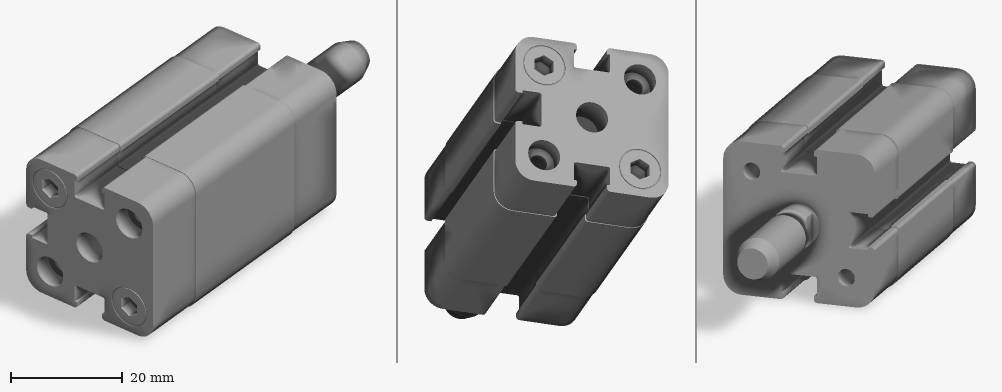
import cadquery as cq
import math

ARC_MIDPOINT = 1 - math.sqrt(0.5)

overall_length = 77.5
body_width = 29.05
cap_width = 28.8
corner_radius = 3.5

front_cap_length = 12.3
profile_length = 28.5
rear_cap_length = 12.35
body_length = front_cap_length + profile_length + rear_cap_length

lip_underside = 13.1
lip_radius = 0.6
slot_floor_radius = 0.4
cut_clearance = 1.0
cap_slot_width = 6.8
cap_slot_opening = 5.7
cap_slot_floor = 9.5
profile_slot_width = 6.6
profile_slot_opening = 5.2
profile_slot_floor = 9.7
slot_directions = (0, 90, 180)

screw_offset = 9.0
through_hole_diameter = 3.24
counterbore_diameter = 6.0
counterbore_depth = 3.4
centre_bore_diameter = 6.0
centre_bore_depth = 6.0

screw_recess_diameter = 8.0
screw_head_diameter = 7.5
screw_ring_depth = 0.2
socket_corner_diameter = 4.13
socket_depth = 2.5

rod_diameter = 8.0
rod_flat_width = 5.8
rod_shoulder = 4.4
rod_embedment = 1.0
rod_chamfer = 0.4
rod_flat_start = 0.95
rod_flat_ramp_angle = 45
neck_diameter = 5.8
neck_length = 2.4
tip_diameter = 5.8
tip_taper_length = 2.9
root_chamfer_length = 0.6
root_chamfer_diameter = 7.5


def square_bar(width, length, start):
    """Rounded square bar along +Y beginning at y = start."""
    bar = cq.Workplane("XY").box(width, length, width, centered=(True, False, True))
    return bar.edges("|Y").fillet(corner_radius).translate((0, start, 0))


def sensor_slot(width, floor, slot_width, opening, length, start):
    """Cutter for one undercut slot open towards +Z, with rounded lips and floor corners."""
    face = width / 2
    half_slot = slot_width / 2
    half_opening = opening / 2
    lip_mid = lip_radius * ARC_MIDPOINT
    floor_mid = slot_floor_radius * ARC_MIDPOINT
    half = (
        cq.Workplane("XZ", origin=(0, start, 0))
        .moveTo(0, floor)
        .lineTo(half_slot - slot_floor_radius, floor)
        .threePointArc((half_slot - floor_mid, floor + floor_mid), (half_slot, floor + slot_floor_radius))
        .lineTo(half_slot, lip_underside)
        .lineTo(half_opening, lip_underside)
        .lineTo(half_opening, face - lip_radius)
        .threePointArc((half_opening + lip_mid, face - lip_mid), (half_opening + lip_radius, face))
        .lineTo(half_opening + lip_radius, face + cut_clearance)
        .lineTo(0, face + cut_clearance)
        .close()
        .extrude(-length)
    )
    return half.union(half.mirror("YZ"))


def body_section(width, floor, slot_width, opening, length, start):
    """One length of the body with its three sensor slots."""
    section = square_bar(width, length, start)
    slot = sensor_slot(width, floor, slot_width, opening, length, start)
    for angle in slot_directions:
        section = section.cut(slot.rotate((0, 0, 0), (0, 1, 0), -angle))
    return section


def end_cap(length, start):
    """End cap of the given length beginning at y = start."""
    return body_section(cap_width, cap_slot_floor, cap_slot_width, cap_slot_opening, length, start)


def round_hole(diameter, depth, x, z):
    """Cutter for a round hole entering the front face."""
    return cq.Workplane("XZ", origin=(x, 0, z)).circle(diameter / 2).extrude(-depth)


def through_hole(x, z):
    """Cutter for a counterbored hole running the whole body length."""
    bore = round_hole(through_hole_diameter, body_length, x, z)
    return bore.union(round_hole(counterbore_diameter, counterbore_depth, x, z))


def screw_relief(x, z):
    """Cutter for the groove round a screw head and its hexagon socket."""
    ring = round_hole(screw_recess_diameter, screw_ring_depth, x, z)
    ring = ring.cut(round_hole(screw_head_diameter, screw_ring_depth, x, z))
    socket = (
        cq.Workplane("XZ", origin=(x, 0, z))
        .transformed(rotate=(0, 0, 90))
        .polygon(6, socket_corner_diameter)
        .extrude(-socket_depth)
    )
    return ring.union(socket)


def piston_rod():
    """Turned rod and rod end, revolved about Y, with two wrench flats."""
    rod_radius = rod_diameter / 2
    shoulder = body_length + rod_shoulder
    neck_end = shoulder + neck_length
    rod_end_start = neck_end + root_chamfer_length
    rod = (
        cq.Workplane("XY")
        .moveTo(0, body_length - rod_embedment)
        .lineTo(rod_radius, body_length - rod_embedment)
        .lineTo(rod_radius, shoulder - rod_chamfer)
        .lineTo(rod_radius - rod_chamfer, shoulder)
        .lineTo(neck_diameter / 2, shoulder)
        .lineTo(neck_diameter / 2, neck_end)
        .lineTo(root_chamfer_diameter / 2, rod_end_start)
        .lineTo(rod_radius, rod_end_start)
        .lineTo(rod_radius, overall_length - tip_taper_length)
        .lineTo(tip_diameter / 2, overall_length)
        .lineTo(0, overall_length)
        .close()
        .revolve(360, (0, 0, 0), (0, 1, 0))
    )
    flat = rod_flat_width / 2
    flat_start = body_length + rod_flat_start
    ramp_end = flat_start - (rod_radius - flat) / math.tan(math.radians(rod_flat_ramp_angle))
    side_cut = (
        cq.Workplane("XY")
        .moveTo(flat, shoulder)
        .lineTo(flat, flat_start)
        .lineTo(rod_radius, ramp_end)
        .lineTo(rod_radius, shoulder)
        .close()
        .extrude(rod_radius, both=True)
    )
    return rod.cut(side_cut).cut(side_cut.mirror("YZ"))


profile = body_section(
    body_width,
    profile_slot_floor,
    profile_slot_width,
    profile_slot_opening,
    profile_length,
    front_cap_length,
)
front_cap = end_cap(front_cap_length, 0)
rear_cap = end_cap(rear_cap_length, front_cap_length + profile_length)
body = front_cap.union(profile).union(rear_cap)

body = body.cut(round_hole(centre_bore_diameter, centre_bore_depth, 0, 0))
for side in (1, -1):
    body = body.cut(through_hole(side * screw_offset, side * screw_offset))
    body = body.cut(screw_relief(-side * screw_offset, side * screw_offset))

result = body.union(piston_rod())